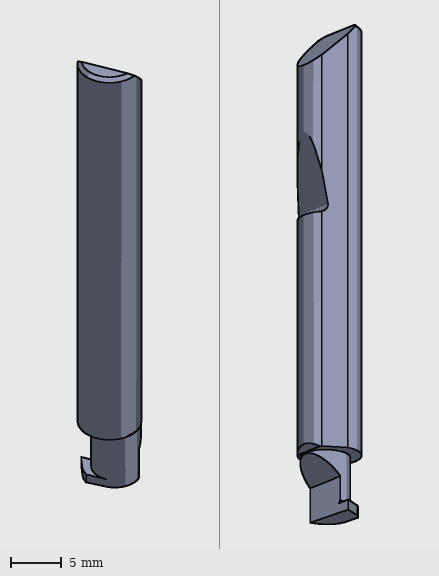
import cadquery as cq

length = 50.8
shank_diameter = 6.35
shank_radius = shank_diameter / 2
shoulder_z = 6.4
top_chamfer = 0.4

flat_normal_angle = 153.5
flat_distance = 2.9

top_cut_y = -1.25
neck_cut_z = 3.8

notch_bottom_z = 30.8
notch_top_z = 39.35
notch_floor_y = 1.8
notch_fillet = 0.75

neck_left_x = -1.8
neck_radius = (shank_radius - neck_left_x) / 2
neck_center_x = shank_radius - neck_radius

tip_x = -3.05
tip_top_z = 1.05
tip_flank_corner = (-2.1, -1.9)
tip_heel_x = -1.45
undercut = 0.25
end_rise = 0.25

margin = 2.55
width = shank_diameter + 2 * margin


def prism_along_x(points):
    """Extrude a closed YZ outline across the full width of the tool."""
    return cq.Workplane("YZ").polyline(points).close().extrude(width / 2, both=True)


def make_shank():
    shank = (
        cq.Workplane("XY").workplane(offset=shoulder_z)
        .circle(shank_radius).extrude(length - shoulder_z)
        .faces(">Z").chamfer(top_chamfer)
    )
    side_flat = (
        cq.Workplane("XY").box(width, width, length, centered=(False, True, False))
        .translate((flat_distance, 0, 0))
        .rotate((0, 0, 0), (0, 0, 1), flat_normal_angle)
    )
    return shank.cut(side_flat)


def make_neck():
    """Round neck with a small 45 degree undercut where the tip leaves it."""
    neck = cq.Workplane("XY").center(neck_center_x, 0).circle(neck_radius).extrude(shoulder_z)
    undercut_outline = [
        (neck_left_x, tip_top_z),
        (neck_left_x, tip_top_z + undercut),
        (neck_left_x + undercut, tip_top_z),
    ]
    bevel = cq.Workplane("XZ").polyline(undercut_outline).close().extrude(width / 2, both=True)
    return neck.cut(bevel)


def make_tip():
    return (
        cq.Workplane("XY")
        .moveTo(tip_x, 0)
        .lineTo(*tip_flank_corner)
        .lineTo(tip_heel_x, -neck_radius)
        .lineTo(neck_center_x, -neck_radius)
        .lineTo(neck_center_x, 0)
        .close()
        .extrude(tip_top_z)
    )


def top_cut():
    far_y = shank_radius + margin
    return prism_along_x([
        (top_cut_y, length),
        (far_y, length - (far_y - top_cut_y)),
        (far_y, length),
    ])


def neck_cut():
    """Clear the +Y half of the neck, running out at 45 degrees into the shank."""
    far_y = shank_radius + margin
    return prism_along_x([
        (0, -margin),
        (0, neck_cut_z),
        (far_y, neck_cut_z + far_y),
        (far_y, -margin),
    ])


def notch():
    """Ramp sloping down into a rounded corner against a square lower wall."""
    slope = (notch_top_z - notch_bottom_z) / (shank_radius - notch_floor_y)
    far_y = shank_radius + margin
    body = prism_along_x([
        (notch_floor_y, notch_bottom_z),
        (far_y, notch_bottom_z),
        (far_y, notch_bottom_z + slope * (far_y - notch_floor_y)),
    ])
    return body.edges("|X and <Y").fillet(notch_fillet)


def end_relief():
    """Wedge that leaves the cutting corner as the lowest point of the tool."""
    return (
        cq.Workplane("XZ")
        .polyline([(tip_x, 0), (shank_radius, end_rise), (shank_radius, -margin), (tip_x, -margin)])
        .close()
        .extrude(width / 2, both=True)
    )


result = make_shank().union(make_neck()).union(make_tip())
for cutter in (top_cut(), neck_cut(), notch(), end_relief()):
    result = result.cut(cutter)